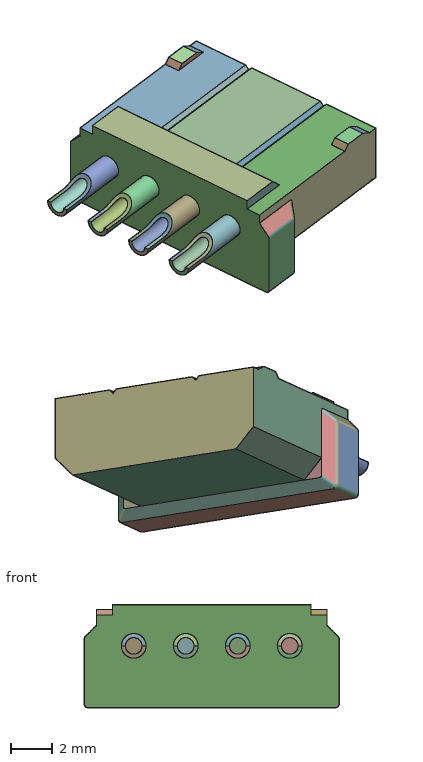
import cadquery as cq
import math


overall_length = 13.0

body_width = 11.18
body_length = 9.0
body_bottom = 0.51
body_top = 4.5
body_bottom_chamfer = 0.99

flange_width = 12.38
flange_length = 2.5
flange_taper = 0.51
flange_shoulder_top = 4.0
flange_edge_radius = 0.2
flange_overhang = (flange_width - body_width) / 2

rib_width = 9.63
rib_top = 5.0
rib_length = 2.5

groove_offset = 2.33
groove_depth = 0.2

latch_width = 0.83
latch_height = 0.27
latch_start = 0.5
latch_ramp = 0.52
latch_length = 1.91

pin_count = 4
pin_pitch = 2.52
pin_length = overall_length - body_length
pin_diameter = 1.2
pin_bore = 0.8
pin_z = 3.0
cup_flat_length = 1.2
cup_arc_radius = 1.15


def extrude_across(points, x_min, width):
    """Extrude an outline of (y, z) points along +X, starting at x_min."""
    return cq.Workplane("YZ", origin=(x_min, 0, 0)).polyline(points).close().extrude(width)


def make_body():
    height = body_top - body_bottom
    body = cq.Workplane("XY").box(body_width, body_length, height, centered=(True, False, False))
    body = body.translate((0, 0, body_bottom))
    body = body.edges("|Y and <Z").chamfer(body_bottom_chamfer)
    for x in (-groove_offset, groove_offset):
        groove = (
            cq.Workplane("XZ", origin=(x, 0, body_top))
            .polyline([(-groove_depth, 0), (groove_depth, 0), (0, -groove_depth)])
            .close()
            .extrude(-body_length)
        )
        body = body.cut(groove)
    return body


def make_flange():
    half = flange_width / 2
    half_body = body_width / 2
    rear_outline = [
        (-half, 0),
        (half, 0),
        (half, flange_shoulder_top - flange_overhang),
        (half_body, flange_shoulder_top),
        (-half_body, flange_shoulder_top),
        (-half, flange_shoulder_top - flange_overhang),
    ]
    plan_outline = [
        (-half, 0),
        (half, 0),
        (half, flange_length - flange_taper),
        (half_body, flange_length),
        (-half_body, flange_length),
        (-half, flange_length - flange_taper),
    ]
    side_outline = [
        (0, 0),
        (flange_length - flange_taper, 0),
        (flange_length, body_bottom),
        (flange_length, flange_shoulder_top),
        (0, flange_shoulder_top),
    ]
    flange = cq.Workplane("XZ").polyline(rear_outline).close().extrude(-flange_length)
    plan = cq.Workplane("XY").polyline(plan_outline).close().extrude(flange_shoulder_top)
    flange = flange.intersect(plan).intersect(extrude_across(side_outline, -half, flange_width))
    side_margin = flange_overhang / 4
    rounded = [
        edge
        for edge in flange.edges("not <Y").vals()
        if abs(edge.Center().x) > half_body + side_margin
    ]
    return flange.newObject(rounded).fillet(flange_edge_radius)


def make_rib():
    rise = rib_top - body_top
    outline = [
        (0, body_top - groove_depth),
        (rib_length + groove_depth, body_top - groove_depth),
        (rib_length - rise, rib_top),
        (0, rib_top),
    ]
    return extrude_across(outline, -rib_width / 2, rib_width)


def make_latch(x_min):
    front = body_length - latch_start
    rear = front - latch_length
    outline = [
        (front, body_top),
        (front - latch_ramp, body_top + latch_height),
        (rear + latch_height, body_top + latch_height),
        (rear, body_top),
    ]
    return extrude_across(outline, x_min, latch_width)


def make_pin(x):
    pin = (
        cq.Workplane("XZ", origin=(x, 0, pin_z))
        .circle(pin_diameter / 2)
        .circle(pin_bore / 2)
        .extrude(pin_length)
    )
    radius = pin_diameter / 2
    tip = -pin_length
    flat_end = tip + cup_flat_length
    arc_run = math.sqrt(cup_arc_radius**2 - (cup_arc_radius - radius) ** 2)
    half_angle = math.atan2(arc_run, cup_arc_radius - radius) / 2
    arc_middle = (
        flat_end + cup_arc_radius * math.sin(half_angle),
        pin_z + cup_arc_radius * (1 - math.cos(half_angle)),
    )
    cutter = (
        cq.Workplane("YZ", origin=(x - radius, 0, 0))
        .moveTo(tip, pin_z)
        .lineTo(flat_end, pin_z)
        .threePointArc(arc_middle, (flat_end + arc_run, pin_z + radius))
        .lineTo(tip, pin_z + radius)
        .close()
        .extrude(pin_diameter)
    )
    return pin.cut(cutter)


result = make_body().union(make_flange()).union(make_rib())
for latch_x in (-body_width / 2, body_width / 2 - latch_width):
    result = result.union(make_latch(latch_x))
for index in range(pin_count):
    result = result.union(make_pin((index - (pin_count - 1) / 2) * pin_pitch))